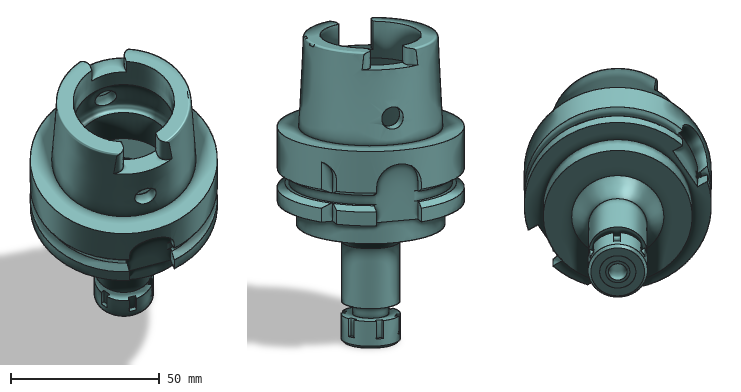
import cadquery as cq
import math


shank_length = 32.0
shank_base_radius = 24.3
taper_ratio = 0.05
shank_top_radius = shank_base_radius - shank_length * taper_ratio
rim_fillet = 1.0

bore_radius = 17.0
undercut_top_depth = 12.8
undercut_radius = 19.9
undercut_bottom_depth = 28.4
undercut_fillet = 2.8
cavity_depth = 42.8
pocket_radius = 8.9
pocket_depth = 48.2

notch_half_width = 6.1
notch_corner_radius = 3.0
notch_shoulder_x = 20.8
left_notch_depth = 5.9
right_notch_depth = 10.0

access_hole_diameter = 7.6
access_hole_drop = 22.8

flange_diameter = 63.0
flange_radius = flange_diameter / 2
flange_thickness = 26.0
groove_top = 14.5
groove_bottom = 21.2
groove_chamfer_height = 1.5
groove_lip_radius = 28.9
groove_radius = 27.5

slot_top = 4.8
drive_slot_width = 15.8
drive_slot_floor_x = 26.6
index_slot_width = 11.3
index_slot_y = 25.8
index_slot_floor_x = 20.2

hub_radius = 25.0
hub_bottom = 34.0
cone_top_radius = 15.5
cone_bottom = 40.0
nose_radius = 9.8
nose_bottom = 61.0
neck_radius = 6.1

nut_diameter = 20.0
nut_radius = nut_diameter / 2
nut_top = 65.4
nut_bottom = 75.0
nut_chamfer = 1.0
nut_slot_count = 6
nut_slot_width = 2.5
nut_slot_length = 6.2
nut_slot_floor_radius = 8.7

collet_radius = 4.1
collet_length = 18.2
collet_bore_radius = 3.1


def cylinder(radius, top_z, bottom_z):
    """Round bar on the Z axis."""
    return cq.Workplane("XY").workplane(offset=bottom_z).circle(radius).extrude(top_z - bottom_z)


def holder_blank():
    """Revolved outside of shank, flange, hub, nose and neck."""
    profile = [
        (0, shank_length),
        (shank_top_radius, shank_length),
        (shank_base_radius, 0),
        (flange_radius, 0),
        (flange_radius, -groove_top),
        (groove_lip_radius, -groove_top - groove_chamfer_height),
        (groove_radius, -groove_top - groove_chamfer_height),
        (groove_radius, -groove_bottom + groove_chamfer_height),
        (groove_lip_radius, -groove_bottom + groove_chamfer_height),
        (flange_radius, -groove_bottom),
        (flange_radius, -flange_thickness),
        (hub_radius, -flange_thickness),
        (hub_radius, -hub_bottom),
        (cone_top_radius, -hub_bottom),
        (nose_radius, -cone_bottom),
        (nose_radius, -nose_bottom),
        (neck_radius, -nose_bottom),
        (neck_radius, -nut_bottom),
        (0, -nut_bottom),
    ]
    blank = cq.Workplane("YZ").polyline(profile).close().revolve(360, (0, 0, 0), (0, 1, 0))
    return blank.faces(">Z").edges().fillet(rim_fillet)


def cavity():
    """Stepped bore running down the axis, from the shank rim through the neck."""
    profile = [
        (0, shank_length),
        (bore_radius, shank_length),
        (bore_radius, shank_length - undercut_top_depth),
        (undercut_radius, shank_length - undercut_top_depth),
        (undercut_radius, shank_length - undercut_bottom_depth),
        (bore_radius, shank_length - undercut_bottom_depth),
        (bore_radius, shank_length - cavity_depth),
        (pocket_radius, shank_length - cavity_depth),
        (pocket_radius, shank_length - pocket_depth),
        (collet_radius, shank_length - pocket_depth),
        (collet_radius, -nut_bottom),
        (0, -nut_bottom),
    ]
    bore = cq.Workplane("YZ").polyline(profile).close().revolve(360, (0, 0, 0), (0, 1, 0))
    widest_edges = cq.selectors.RadiusNthSelector(-1)
    return bore.edges("%CIRCLE").edges(widest_edges).edges("<Z").fillet(undercut_fillet)


def drive_notch(side, depth):
    """Cutter for one rim notch on the side of X given by +1 or -1; its mouth flares with rounded corners."""
    flare_y = notch_half_width + notch_corner_radius
    round_x = notch_shoulder_x - notch_corner_radius
    mid_offset = notch_corner_radius * math.sqrt(0.5)
    mid_x = round_x + mid_offset
    mid_y = flare_y - mid_offset
    return (
        cq.Workplane("XY")
        .workplane(offset=shank_length - depth)
        .moveTo(0, -notch_half_width)
        .lineTo(side * round_x, -notch_half_width)
        .threePointArc((side * mid_x, -mid_y), (side * notch_shoulder_x, -flare_y))
        .lineTo(side * notch_shoulder_x, -shank_base_radius)
        .lineTo(side * shank_base_radius, -shank_base_radius)
        .lineTo(side * shank_base_radius, shank_base_radius)
        .lineTo(side * notch_shoulder_x, shank_base_radius)
        .lineTo(side * notch_shoulder_x, flare_y)
        .threePointArc((side * mid_x, mid_y), (side * round_x, notch_half_width))
        .lineTo(0, notch_half_width)
        .close()
        .extrude(depth)
    )


def flange_slot(side, center_y, width, floor_x):
    """Cutter for a round-topped slot, open at the flange underside, with its flat floor facing +X or -X."""
    arc_z = -slot_top - width / 2
    return (
        cq.Workplane("YZ")
        .workplane(offset=side * floor_x)
        .moveTo(center_y - width / 2, -flange_thickness)
        .lineTo(center_y - width / 2, arc_z)
        .threePointArc((center_y, -slot_top), (center_y + width / 2, arc_z))
        .lineTo(center_y + width / 2, -flange_thickness)
        .close()
        .extrude(side * (flange_radius - floor_x))
    )


def make_holder():
    holder = holder_blank().cut(cavity())
    holder = holder.cut(drive_notch(-1, left_notch_depth))
    holder = holder.cut(drive_notch(1, right_notch_depth))
    access_hole = (
        cq.Workplane("YZ")
        .center(0, shank_length - access_hole_drop)
        .circle(access_hole_diameter / 2)
        .extrude(shank_base_radius, both=True)
    )
    holder = holder.cut(access_hole)
    for side in (-1, 1):
        holder = holder.cut(flange_slot(side, 0, drive_slot_width, drive_slot_floor_x))
    return holder.cut(flange_slot(-1, index_slot_y, index_slot_width, index_slot_floor_x))


def make_nut():
    """Ring around the neck with wrench slots open at its upper face."""
    nut = cylinder(nut_radius, -nut_top, -nut_bottom).faces("<Z").chamfer(nut_chamfer)
    nut = nut.cut(cylinder(neck_radius, -nut_top, -nut_bottom))
    slot_depth = nut_radius - nut_slot_floor_radius
    slot = cq.Workplane("XY").box(slot_depth, nut_slot_width, nut_slot_length, centered=(False, True, False))
    slot = slot.translate((nut_slot_floor_radius, 0, -nut_top - nut_slot_length))
    for index in range(nut_slot_count):
        nut = nut.cut(slot.rotate((0, 0, 0), (0, 0, 1), index * 360 / nut_slot_count))
    return nut


def make_collet():
    """Sleeve filling the lower end of the through bore, flush with the neck."""
    collet_top = collet_length - nut_bottom
    sleeve = cylinder(collet_radius, collet_top, -nut_bottom)
    return sleeve.cut(cylinder(collet_bore_radius, collet_top, -nut_bottom))


holder = make_holder()
nut = make_nut()
collet = make_collet()
result = cq.Compound.makeCompound([holder.val(), nut.val(), collet.val()])